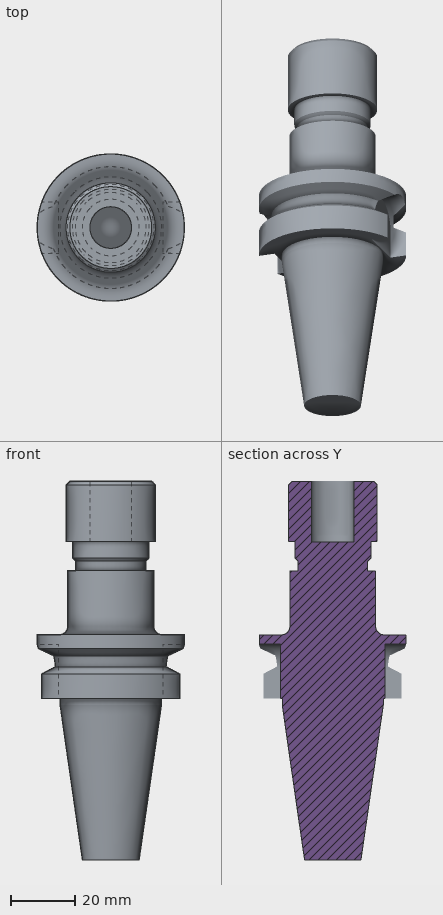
import cadquery as cq

small_end_radius = 8.9
taper_radius = 15.9
flange_radius = 23.03
v_groove_radius = 19.1
body_radius = 13.5
relief_radius = 11.0
collar_radius = 12.0
nut_radius = 14.0
bore_radius = 6.5

gauge_height = 48.4
flange_bottom = 50.4
flange_top = 70.5
body_top = 90.5
nut_bottom = 99.5
overall_length = 118.4

lower_rim_thickness = 7.7
upper_rim_thickness = 4.4
groove_flank_height = 2.2

body_fillet = 2.5
relief_length = 3.0
collar_chamfer_height = 1.0
nut_chamfer = 1.2
bore_depth = overall_length - nut_bottom

slot_width = 16.1
slot_top = 67.4
slot_floor = 16.3


def make_holder():
    """Taper shank, grooved flange, body and clamping nut turned about Z."""
    lower_rim_top = flange_bottom + lower_rim_thickness
    upper_rim_bottom = flange_top - upper_rim_thickness
    relief_top = body_top + relief_length
    profile = (
        cq.Workplane("XZ")
        .moveTo(0, 0)
        .lineTo(small_end_radius, 0)
        .lineTo(taper_radius, gauge_height)
        .lineTo(taper_radius, flange_bottom)
        .lineTo(flange_radius, flange_bottom)
        .lineTo(flange_radius, lower_rim_top)
        .lineTo(v_groove_radius, lower_rim_top + groove_flank_height)
        .lineTo(v_groove_radius, upper_rim_bottom - groove_flank_height)
        .lineTo(flange_radius, upper_rim_bottom)
        .lineTo(flange_radius, flange_top)
        .lineTo(body_radius + body_fillet, flange_top)
        .radiusArc((body_radius, flange_top + body_fillet), body_fillet)
        .lineTo(body_radius, body_top)
        .lineTo(relief_radius, body_top)
        .lineTo(relief_radius, relief_top)
        .lineTo(collar_radius, relief_top + collar_chamfer_height)
        .lineTo(collar_radius, nut_bottom)
        .lineTo(nut_radius, nut_bottom)
        .lineTo(nut_radius, overall_length - nut_chamfer)
        .lineTo(nut_radius - nut_chamfer, overall_length)
        .lineTo(0, overall_length)
        .close()
    )
    return profile.revolve(360, (0, 0, 0), (0, 1, 0))


def make_bore():
    """Blind bore in the nut face."""
    return (
        cq.Workplane("XY")
        .workplane(offset=overall_length - bore_depth)
        .circle(bore_radius)
        .extrude(bore_depth)
    )


def make_drive_slot(side):
    """Round-topped slot open at the flange bottom; side is +1 or -1 along X."""
    half_width = slot_width / 2
    arc_center = slot_top - half_width
    return (
        cq.Workplane("YZ")
        .workplane(offset=side * slot_floor)
        .moveTo(-half_width, flange_bottom)
        .lineTo(half_width, flange_bottom)
        .lineTo(half_width, arc_center)
        .threePointArc((0, slot_top), (-half_width, arc_center))
        .close()
        .extrude(side * (flange_radius - slot_floor + 1.2))
    )


result = make_holder().cut(make_bore())
for side in (-1, 1):
    result = result.cut(make_drive_slot(side))